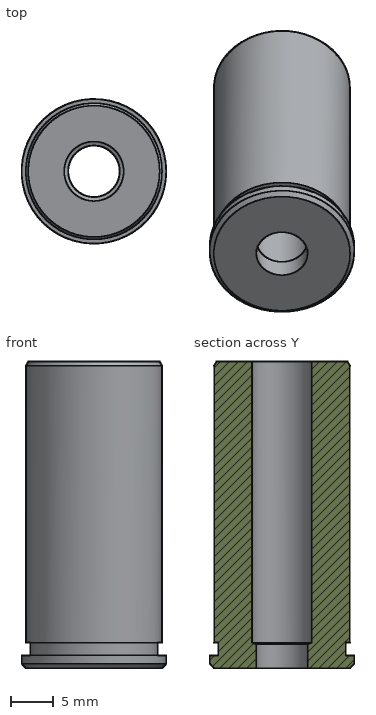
import cadquery as cq

total_height = 36.0
flange_height = 1.5
groove_height = 1.5
body_base = flange_height + groove_height

flange_diameter = 17.0
groove_diameter = 15.0
body_diameter = 16.0
upper_bore_diameter = 7.0
lower_bore_diameter = 6.0

cone_height = 0.18
cone_base = body_base - cone_height

flange_chamfer = 0.5
body_chamfer_height = 0.5
body_chamfer_width = 0.3


def disc(diameter, base, top):
    return cq.Workplane("XY").workplane(offset=base).circle(diameter / 2).extrude(top - base)


flange = disc(flange_diameter, 0, flange_height)
flange = flange.faces("<Z").edges().chamfer(flange_chamfer)

groove = disc(groove_diameter, flange_height, body_base)

body = disc(body_diameter, body_base, total_height)
body = body.faces(">Z").edges().chamfer(body_chamfer_height, body_chamfer_width)

lower_bore = disc(lower_bore_diameter, 0, body_base)
upper_bore = disc(upper_bore_diameter, body_base, total_height)
shoulder = (
    cq.Workplane("XY")
    .workplane(offset=cone_base)
    .circle(lower_bore_diameter / 2)
    .workplane(offset=cone_height)
    .circle(upper_bore_diameter / 2)
    .loft(ruled=True)
)

result = flange.union(groove).union(body).cut(lower_bore).cut(upper_bore).cut(shoulder)